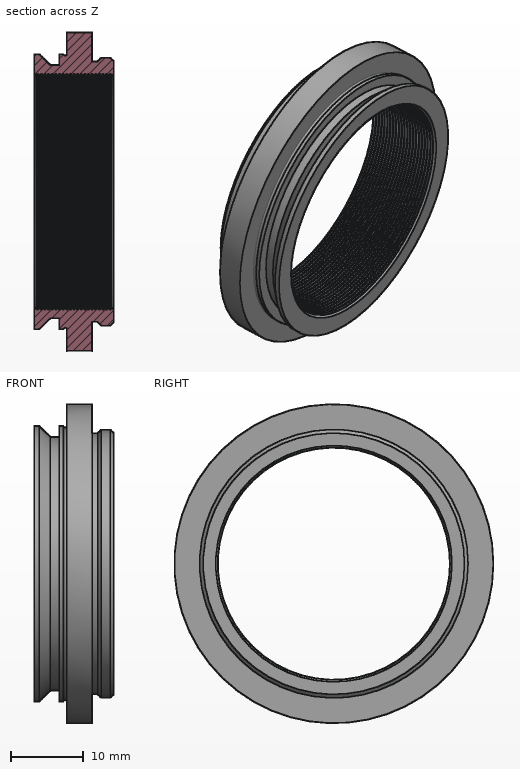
import cadquery as cq
import math


DOVETAIL_LAND_END = 0.7
DOVETAIL_CONE_END = 2.25
DOVETAIL_NECK_END = 3.45
COLLAR_END = 4.0
FLANGE_START = 4.5
FLANGE_WIDTH = 3.5
FLANGE_END = FLANGE_START + FLANGE_WIDTH
RELIEF_END = 8.75
TOTAL_LENGTH = 11.0

DOVETAIL_RADIUS = 38 / 2
DOVETAIL_NECK_RADIUS = 35 / 2
COLLAR_RADIUS = 38 / 2
FLANGE_RADIUS = 44 / 2
RELIEF_RADIUS = 36 / 2
MALE_THREAD_RADIUS = 37 / 2

UNDERCUT_FILLET = 0.2
UNDERCUT_SLOPE = math.radians(45)
UNDERCUT_CENTER = FLANGE_START - UNDERCUT_FILLET
ARC_START = UNDERCUT_CENTER - UNDERCUT_FILLET * math.sin(UNDERCUT_SLOPE)
ARC_START_RADIUS = COLLAR_RADIUS - (ARC_START - COLLAR_END) * math.tan(UNDERCUT_SLOPE)
ARC_END_RADIUS = ARC_START_RADIUS + UNDERCUT_FILLET * math.cos(UNDERCUT_SLOPE)

MALE_THREAD_CHAMFER = MALE_THREAD_RADIUS - RELIEF_RADIUS

THREAD_PITCH = 0.5
THREAD_MAJOR_RADIUS = 32.5 / 2
CREST_WIDTH = THREAD_PITCH / 4
ROOT_WIDTH = THREAD_PITCH / 8
FLANK_ANGLE = 60 / 2
FLANK_WIDTH = (THREAD_PITCH - CREST_WIDTH - ROOT_WIDTH) / 2
THREAD_DEPTH = FLANK_WIDTH / math.tan(math.radians(FLANK_ANGLE))
BORE_RADIUS = THREAD_MAJOR_RADIUS - THREAD_DEPTH
BORE_CHAMFER = 0.3
GROOVE_WIDTH = ROOT_WIDTH + 2 * FLANK_WIDTH
THREADED_LENGTH = TOTAL_LENGTH - 2 * BORE_CHAMFER
GROOVE_COUNT = math.floor((THREADED_LENGTH - GROOVE_WIDTH) / THREAD_PITCH) + 1
FIRST_GROOVE_START = (TOTAL_LENGTH - (GROOVE_COUNT - 1) * THREAD_PITCH - GROOVE_WIDTH) / 2


def groove_points(start):
    """One thread groove, from its opening at the given station to its far edge."""
    return [
        (start, BORE_RADIUS),
        (start + FLANK_WIDTH, THREAD_MAJOR_RADIUS),
        (start + FLANK_WIDTH + ROOT_WIDTH, THREAD_MAJOR_RADIUS),
        (start + GROOVE_WIDTH, BORE_RADIUS),
    ]


def bore_points():
    """Bore side of the half section, from the dovetail face to the far face."""
    opening_radius = BORE_RADIUS + BORE_CHAMFER
    points = [(0, opening_radius), (BORE_CHAMFER, BORE_RADIUS)]
    for index in range(GROOVE_COUNT):
        points += groove_points(FIRST_GROOVE_START + index * THREAD_PITCH)
    points.append((TOTAL_LENGTH - BORE_CHAMFER, BORE_RADIUS))
    points.append((TOTAL_LENGTH, opening_radius))
    return points


def male_thread_points():
    """Chamfered male thread land and the relief behind it, towards the flange."""
    return [
        (TOTAL_LENGTH, MALE_THREAD_RADIUS - MALE_THREAD_CHAMFER),
        (TOTAL_LENGTH - MALE_THREAD_CHAMFER, MALE_THREAD_RADIUS),
        (RELIEF_END + MALE_THREAD_CHAMFER, MALE_THREAD_RADIUS),
        (RELIEF_END, RELIEF_RADIUS),
        (FLANGE_END, RELIEF_RADIUS),
    ]


def flange_points():
    """Flange rim and its face on the collar side, ending where the undercut arc begins."""
    return [
        (FLANGE_END, FLANGE_RADIUS),
        (FLANGE_START, FLANGE_RADIUS),
        (FLANGE_START, ARC_END_RADIUS),
    ]


def collar_points():
    """Locating collar, from the edge of the undercut to the dovetail neck."""
    return [
        (COLLAR_END, COLLAR_RADIUS),
        (DOVETAIL_NECK_END, COLLAR_RADIUS),
    ]


def dovetail_points():
    """Neck, cone and land of the dovetail, ending at the dovetail face."""
    return [
        (DOVETAIL_NECK_END, DOVETAIL_NECK_RADIUS),
        (DOVETAIL_CONE_END, DOVETAIL_NECK_RADIUS),
        (DOVETAIL_LAND_END, DOVETAIL_RADIUS),
        (0, DOVETAIL_RADIUS),
    ]


half_section = (
    cq.Workplane("XY")
    .polyline(bore_points() + male_thread_points() + flange_points())
    .tangentArcPoint((ARC_START, ARC_START_RADIUS), relative=False)
    .polyline(collar_points() + dovetail_points(), includeCurrent=True)
    .close()
)

result = half_section.revolve(360, (0, 0, 0), (1, 0, 0))